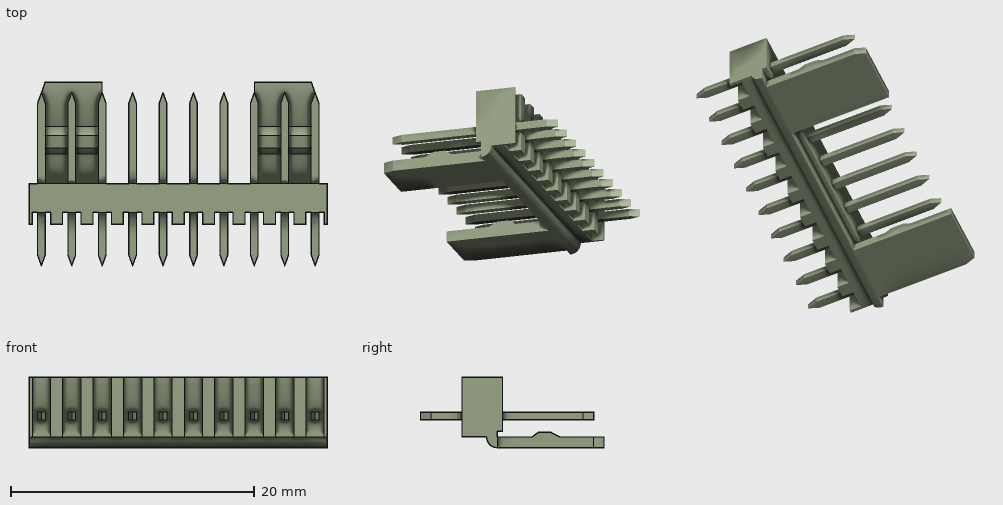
import cadquery as cq
import math

pin_count = 10
pitch = 2.5
pin_size = 0.64
pin_front_reach = 3.4
pin_back_reach = 7.5
pin_tip_length = 0.88
pin_height = 1.72

end_margin = 1.0
row_length = (pin_count - 1) * pitch
body_length = row_length + 2 * end_margin
body_depth = 3.35
body_height = 4.9
slot_width = 1.5
slot_depth = 1.0

step_depth = 0.42
step_height = 0.45
foot_radius = 0.9

tab_width = 2 * pitch
tab_end_y = 11.7
tab_corner_width = 0.3
tab_corner_length = 0.88

bump_height = 0.38
bump_back_foot = 3.65
bump_back_top = 4.38
bump_front_top = 5.4
bump_front_foot = 5.92

tab_root_y = body_depth - step_depth
pin_positions = [i * pitch - row_length / 2 for i in range(pin_count)]


def make_body():
    """Bar with a stepped back edge and a quarter-round foot, extruded along X."""
    diagonal_offset = foot_radius / math.sqrt(2)
    profile = (
        cq.Workplane("YZ")
        .moveTo(0, 0)
        .lineTo(tab_root_y - foot_radius, 0)
        .threePointArc(
            (tab_root_y - diagonal_offset, -diagonal_offset),
            (tab_root_y, -foot_radius),
        )
        .lineTo(tab_root_y, step_height)
        .lineTo(body_depth, step_height)
        .lineTo(body_depth, body_height)
        .lineTo(0, body_height)
        .close()
    )
    return profile.extrude(body_length / 2, both=True)


def make_slot(x):
    """Full-height slot cut into the front face around one pin."""
    slot = cq.Workplane("XY").box(slot_width, slot_depth, body_height, centered=(True, False, False))
    return slot.translate((x, 0, 0))


def make_pin(x):
    """Square pin whose ends taper to vertical knife edges."""
    half = pin_size / 2
    front = -pin_front_reach
    back = body_depth + pin_back_reach
    outline = [
        (x, front),
        (x + half, front + pin_tip_length),
        (x + half, back - pin_tip_length),
        (x, back),
        (x - half, back - pin_tip_length),
        (x - half, front + pin_tip_length),
    ]
    return cq.Workplane("XY", origin=(0, 0, pin_height - half)).polyline(outline).close().extrude(pin_size)


def make_tab():
    """Left-hand latch tab with a clipped outer corner and a bump across its top."""
    outer_x = -row_length / 2
    inner_x = outer_x + tab_width
    outline = [
        (outer_x, tab_root_y),
        (inner_x, tab_root_y),
        (inner_x, tab_end_y),
        (outer_x + tab_corner_width, tab_end_y),
        (outer_x, tab_end_y - tab_corner_length),
    ]
    plate = cq.Workplane("XY", origin=(0, 0, -foot_radius)).polyline(outline).close().extrude(foot_radius)

    bump_profile = [
        (tab_end_y - bump_back_foot, 0),
        (tab_end_y - bump_back_top, bump_height),
        (tab_end_y - bump_front_top, bump_height),
        (tab_end_y - bump_front_foot, 0),
    ]
    bump = cq.Workplane("YZ", origin=(outer_x, 0, 0)).polyline(bump_profile).close().extrude(tab_width)
    return plate.union(bump)


result = make_body()
for pin_x in pin_positions:
    result = result.cut(make_slot(pin_x))

left_tab = make_tab()
result = result.union(left_tab).union(left_tab.mirror("YZ"))

for pin_x in pin_positions:
    result = result.union(make_pin(pin_x))